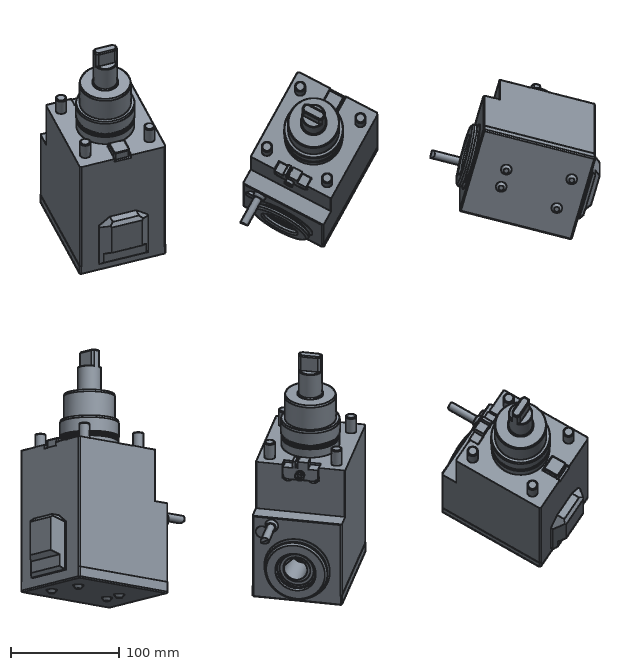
import cadquery as cq

OVERLAP = 2.3

HALF_DEPTH = 42.5
BODY_LEFT = -60.0
BODY_RIGHT = 47.8
BODY_BOTTOM = -133.8
UPPER_LEFT = -44.5
STEP_Z = -48.7
PLATE_TOP = -123.2
PLATE_STEP = 0.2
EDGE_CHAMFER = 1.4
UPPER_EDGE_CHAMFER = 0.7

COLLAR_RADIUS = 55.0 / 2
BASE_RADIUS = 27.0
COLLAR_TOP = 27.7
SPIGOT_RADIUS = 47.8 / 2
SPIGOT_TOP = 52.8
SHANK_CHAMFER = 2.0
RIM_CHAMFER = 0.7
GROOVE_BOTTOM = 8.5
GROOVE_TOP = 13.0
GROOVE_RADIUS = 26.3
RING_RADIUS = 27.0
RING_BOTTOM = 10.0
RING_TOP = 11.5
SHAFT_RADIUS = 22.0 / 2
SHAFT_FLARE = 1.2
SHAFT_TOP = 78.5
TANG_TOP = 94.0
TANG_WIDTH = 8.8
TANG_END_CHAMFER = 1.8
TANG_END_RUN = 3.0
TANG_TOP_CHAMFER = 1.2

STUD_RADIUS = 10.0 / 2
STUD_X = 32.5
STUD_Y = 31.5
STUD_HEIGHT = 16.0
STUD_CHAMFER = 1.0

KEY_SLOT_WIDTH = 16.5
KEY_SLOT_START = 28.5
KEY_SLOT_DEPTH = 3.5
KEY_WIDTH = 15.5
KEY_START = 29.8
KEY_END = 45.2
KEY_HEIGHT = 4.5
KEY_CHAMFER = 1.4
KEY_TOP_CHAMFER = 0.7

POCKET_WIDTH = 34.5
POCKET_BACK = -35.8
RELIEF_RADIUS = 4.8
RELIEF_Y = 12.0
RELIEF_Z = -11.8
BLOCK_FRONT = -45.7
BLOCK_WIDTH = 33.0
BLOCK_TOP = -2.0
BLOCK_BOTTOM = -14.0
BLOCK_CHAMFER = 2.5
TENON_WIDTH = 14.8
TENON_TOP = 4.8
SAW_SLOT_Y = 3.5
SAW_SLOT_WIDTH = 2.0
SAW_SLOT_FLOOR = -1.5
SCREW_Z = -8.3
SCREW_RADIUS = 8.5 / 2
SCREW_NECK_RADIUS = 8.0 / 2
SCREW_FRONT = -49.8
SCREW_RIM = 0.7
SOCKET_RADIUS = 4.2 / 2
SOCKET_DEPTH = 2.3

PIPE_Y = 24.0
PIPE_Z = -56.8
PIPE_RADIUS = 7.5 / 2
PIPE_TIP = -91.8
PIPE_CUT = 3.0
PIPE_CUT_TURN = 25
BALL_RADIUS = 12.2 / 2
BALL_FRONT = -64.0
NOZZLE_Y = 32.0
NOZZLE_Z = -62.5
NOZZLE_ROOT_RADIUS = 2.3

NUT_Z = -99.5
SEAT_RADIUS = 62.0 / 2
SEAT_HEIGHT = 0.2
NECK_RADIUS = 49.0 / 2
NUT_RADIUS = 59.0 / 2
NUT_BACK = -62.8
NUT_FRONT = -67.0
NUT_CHAMFER = 1.8
MOUTH_RADIUS = 38.5 / 2
CAVITY_RADIUS = 36.0 / 2
MOUTH_DEPTH = 1.8
CAVITY_DEPTH = 4.5
INNER_RADIUS = 32.0 / 2
INNER_DEPTH = 5.0
RIM_RADIUS = 25.5 / 2
RIM_DEPTH = 0.7
BORE_RADIUS = 22.0 / 2
BORE_OFFSET = 1.2
BORE_FLAT = 9.5
BORE_DEPTH = 34.5
FLAT_ANGLE = 45

COVER_RIGHT = 59.0
COVER_TOP = -70.0
COVER_BOTTOM = -123.5
COVER_HALF_WIDTH = 24.0
COVER_TOP_HALF = 13.0
COVER_FACE_HALF = 15.0
COVER_SIDE_X = 50.0
COVER_SHOULDER_Z = -78.2
COVER_TOP_CHAMFER = 3.5
COVER_WAIST_X = 53.3
COVER_WAIST_TOP = -104.8
COVER_WAIST_BOTTOM = -109.1
COVER_FOOT_Z = -120.0

FOOT_RADIUS = 10.0 / 2
FOOT_HEIGHT = 3.0
FOOT_TAPER = 40
FOOT_PLACES = [(-29.0, 8.3), (-29.0, -9.5), (26.0, 15.2), (31.8, -16.2)]


def box(x0, x1, y0, y1, z0, z1):
    """Block between the given limits."""
    return cq.Workplane("XY").box(x1 - x0, y1 - y0, z1 - z0, centered=False).translate((x0, y0, z0))


def cross_block(x0, x1, width, z0, z1):
    """Block centred on Y = 0."""
    return box(x0, x1, -width / 2, width / 2, z0, z1)


def turned_x(y, z, profile):
    """Solid turned about a line along X; the profile lists (x, radius)."""
    points = [(profile[0][0], 0)] + profile + [(profile[-1][0], 0)]
    turned = cq.Workplane("XY").polyline(points).close().revolve(360, (0, 0, 0), (1, 0, 0))
    return turned.translate((0, y, z))


def make_housing():
    upper = cross_block(UPPER_LEFT, BODY_RIGHT, 2 * (HALF_DEPTH - PLATE_STEP), PLATE_TOP, 0)
    upper = upper.edges("|Z and <X").chamfer(UPPER_EDGE_CHAMFER)
    upper = upper.edges("|Z and >X").chamfer(EDGE_CHAMFER)
    lower = cross_block(BODY_LEFT, 0, 2 * (HALF_DEPTH - PLATE_STEP), PLATE_TOP, STEP_Z)
    lower = lower.edges("|Z and <X").chamfer(EDGE_CHAMFER)
    lower = lower.edges("<X and >Z").chamfer(UPPER_EDGE_CHAMFER)
    plate = cross_block(BODY_LEFT, BODY_RIGHT, 2 * HALF_DEPTH, BODY_BOTTOM, PLATE_TOP)
    plate = plate.edges("|Z or <Z").chamfer(EDGE_CHAMFER)
    return upper.union(lower).union(plate)


def make_shank():
    body = (
        cq.Workplane("XZ")
        .moveTo(0, -OVERLAP)
        .lineTo(BASE_RADIUS, -OVERLAP)
        .lineTo(BASE_RADIUS, GROOVE_BOTTOM)
        .lineTo(GROOVE_RADIUS, GROOVE_BOTTOM)
        .lineTo(GROOVE_RADIUS, RING_BOTTOM)
        .lineTo(RING_RADIUS, RING_BOTTOM)
        .lineTo(RING_RADIUS, RING_TOP)
        .lineTo(GROOVE_RADIUS, RING_TOP)
        .lineTo(GROOVE_RADIUS, GROOVE_TOP)
        .lineTo(COLLAR_RADIUS, GROOVE_TOP)
        .lineTo(COLLAR_RADIUS, COLLAR_TOP - SHANK_CHAMFER)
        .lineTo(COLLAR_RADIUS - RIM_CHAMFER, COLLAR_TOP)
        .lineTo(SPIGOT_RADIUS, COLLAR_TOP)
        .lineTo(SPIGOT_RADIUS, SPIGOT_TOP - SHANK_CHAMFER)
        .lineTo(SPIGOT_RADIUS - RIM_CHAMFER, SPIGOT_TOP)
        .lineTo(SHAFT_RADIUS + SHAFT_FLARE, SPIGOT_TOP)
        .lineTo(SHAFT_RADIUS, SPIGOT_TOP + SHAFT_FLARE)
        .lineTo(SHAFT_RADIUS, SHAFT_TOP - RIM_CHAMFER)
        .lineTo(SHAFT_RADIUS - RIM_CHAMFER, SHAFT_TOP)
        .lineTo(0, SHAFT_TOP)
        .close()
        .revolve(360, (0, 0, 0), (0, 1, 0))
    )
    tang_base = SHAFT_TOP - OVERLAP
    tang_corners = [
        (TANG_WIDTH / 2, SHAFT_RADIUS - TANG_END_RUN),
        (TANG_WIDTH / 2 - TANG_END_CHAMFER, SHAFT_RADIUS),
    ]
    tang_corners += [(-x, y) for x, y in reversed(tang_corners)]
    tang_corners += [(-x, -y) for x, y in tang_corners]
    tang = cq.Workplane("XY").workplane(offset=tang_base).polyline(tang_corners).close()
    tang = tang.extrude(TANG_TOP - tang_base).faces(">Z").chamfer(TANG_TOP_CHAMFER)
    round_stock = cq.Workplane("XY").workplane(offset=tang_base).circle(SHAFT_RADIUS)
    round_stock = round_stock.extrude(TANG_TOP - tang_base)
    return body.union(tang.intersect(round_stock))


def make_studs():
    return (
        cq.Workplane("XY")
        .workplane(offset=-OVERLAP)
        .rect(2 * STUD_X, 2 * STUD_Y, forConstruction=True)
        .vertices()
        .circle(STUD_RADIUS)
        .extrude(STUD_HEIGHT + OVERLAP)
        .faces(">Z")
        .chamfer(STUD_CHAMFER)
    )


def add_key(part):
    slot = cross_block(KEY_SLOT_START, BODY_RIGHT, KEY_SLOT_WIDTH, -KEY_SLOT_DEPTH, 0)
    key = cross_block(KEY_START, KEY_END, KEY_WIDTH, -KEY_SLOT_DEPTH, KEY_HEIGHT)
    key = key.edges("|Z and >X").chamfer(KEY_CHAMFER)
    key = key.faces(">Z").chamfer(KEY_TOP_CHAMFER)
    return part.cut(slot).union(key)


def add_locating_block(part):
    pocket = cross_block(BLOCK_FRONT, POCKET_BACK, POCKET_WIDTH, BLOCK_BOTTOM, 0)
    reliefs = (
        cq.Workplane("YZ")
        .workplane(offset=BLOCK_FRONT)
        .pushPoints([(-RELIEF_Y, RELIEF_Z), (RELIEF_Y, RELIEF_Z)])
        .circle(RELIEF_RADIUS)
        .extrude(POCKET_BACK - BLOCK_FRONT)
    )
    block = cross_block(BLOCK_FRONT, POCKET_BACK, BLOCK_WIDTH, BLOCK_BOTTOM, BLOCK_TOP)
    block = block.edges("|X and <Z").chamfer(BLOCK_CHAMFER)
    tenon = cross_block(BLOCK_FRONT, POCKET_BACK, TENON_WIDTH, BLOCK_BOTTOM, TENON_TOP)
    saw_slot = cross_block(BLOCK_FRONT, POCKET_BACK, SAW_SLOT_WIDTH, SAW_SLOT_FLOOR, TENON_TOP)
    block = block.union(tenon).cut(saw_slot.translate((0, SAW_SLOT_Y, 0)))
    screw = turned_x(0, SCREW_Z, [
        (SCREW_FRONT, SCREW_RADIUS),
        (SCREW_FRONT + SCREW_RIM, SCREW_RADIUS),
        (SCREW_FRONT + SCREW_RIM, SCREW_NECK_RADIUS),
        (POCKET_BACK, SCREW_NECK_RADIUS),
    ])
    socket = turned_x(0, SCREW_Z, [(SCREW_FRONT, SOCKET_RADIUS), (SCREW_FRONT + SOCKET_DEPTH, SOCKET_RADIUS)])
    return part.cut(pocket).cut(reliefs).union(block).union(screw).cut(socket)


def make_coolant_parts():
    pipe = turned_x(0, 0, [(PIPE_TIP, PIPE_RADIUS), (BODY_LEFT, PIPE_RADIUS)])
    cut = (
        cq.Workplane("XZ")
        .polyline([(PIPE_TIP, 0), (PIPE_TIP, -PIPE_RADIUS), (PIPE_TIP + PIPE_CUT, -PIPE_RADIUS)])
        .close()
        .extrude(PIPE_RADIUS, both=True)
        .rotate((0, 0, 0), (1, 0, 0), -PIPE_CUT_TURN)
    )
    ball = cq.Workplane("XY").sphere(BALL_RADIUS).translate((BODY_LEFT, 0, 0))
    ball = ball.intersect(cross_block(BALL_FRONT, 0, 4 * BALL_RADIUS, -BALL_RADIUS, BALL_RADIUS))
    pipe = pipe.cut(cut).union(ball).translate((0, PIPE_Y, PIPE_Z))
    nozzle = turned_x(NOZZLE_Y, NOZZLE_Z, [
        (BALL_FRONT, BALL_RADIUS),
        (BODY_LEFT, NOZZLE_ROOT_RADIUS),
        (BODY_LEFT + OVERLAP, NOZZLE_ROOT_RADIUS),
    ])
    return pipe.union(nozzle)


def add_collet_nut(part):
    nut = turned_x(0, NUT_Z, [
        (NUT_FRONT, NUT_RADIUS - NUT_CHAMFER),
        (NUT_FRONT + NUT_CHAMFER, NUT_RADIUS),
        (NUT_BACK, NUT_RADIUS),
        (NUT_BACK, NECK_RADIUS),
        (BODY_LEFT - SEAT_HEIGHT, NECK_RADIUS),
        (BODY_LEFT - SEAT_HEIGHT, SEAT_RADIUS),
        (BODY_LEFT + OVERLAP, SEAT_RADIUS),
    ])
    floor_x = NUT_FRONT + INNER_DEPTH
    cavity = turned_x(0, NUT_Z, [
        (NUT_FRONT, MOUTH_RADIUS),
        (NUT_FRONT + MOUTH_DEPTH, CAVITY_RADIUS),
        (NUT_FRONT + CAVITY_DEPTH, CAVITY_RADIUS),
        (NUT_FRONT + CAVITY_DEPTH, INNER_RADIUS),
        (floor_x, INNER_RADIUS),
    ])
    rim = turned_x(0, NUT_Z, [(floor_x, RIM_RADIUS), (floor_x + RIM_DEPTH, RIM_RADIUS)])
    bore = turned_x(0, 0, [(floor_x, BORE_RADIUS), (floor_x + BORE_DEPTH, BORE_RADIUS)])
    flat_limit = cross_block(floor_x, floor_x + BORE_DEPTH, 4 * BORE_RADIUS, -2 * BORE_RADIUS, BORE_FLAT)
    bore = bore.intersect(flat_limit).rotate((0, 0, 0), (1, 0, 0), -FLAT_ANGLE)
    bore = bore.translate((0, BORE_OFFSET, NUT_Z))
    return part.union(nut).cut(cavity).cut(rim).cut(bore)


def make_cover():
    height = COVER_TOP - COVER_BOTTOM
    side = (
        cq.Workplane("XZ")
        .polyline([
            (BODY_RIGHT - OVERLAP, COVER_TOP),
            (COVER_RIGHT - COVER_TOP_CHAMFER, COVER_TOP),
            (COVER_RIGHT, COVER_TOP - COVER_TOP_CHAMFER),
            (COVER_RIGHT, COVER_WAIST_TOP),
            (COVER_WAIST_X, COVER_WAIST_BOTTOM),
            (COVER_WAIST_X, COVER_FOOT_Z),
            (COVER_SIDE_X, COVER_BOTTOM),
            (BODY_RIGHT - OVERLAP, COVER_BOTTOM),
        ])
        .close()
        .extrude(COVER_HALF_WIDTH, both=True)
    )
    plan = (
        cq.Workplane("XY")
        .workplane(offset=COVER_BOTTOM)
        .polyline([
            (BODY_RIGHT - OVERLAP, -COVER_HALF_WIDTH),
            (COVER_SIDE_X, -COVER_HALF_WIDTH),
            (COVER_RIGHT, -COVER_FACE_HALF),
            (COVER_RIGHT, COVER_FACE_HALF),
            (COVER_SIDE_X, COVER_HALF_WIDTH),
            (BODY_RIGHT - OVERLAP, COVER_HALF_WIDTH),
        ])
        .close()
        .extrude(height)
    )
    face = (
        cq.Workplane("YZ")
        .workplane(offset=BODY_RIGHT - OVERLAP)
        .polyline([
            (-COVER_HALF_WIDTH, COVER_BOTTOM),
            (COVER_HALF_WIDTH, COVER_BOTTOM),
            (COVER_HALF_WIDTH, COVER_SHOULDER_Z),
            (COVER_TOP_HALF, COVER_TOP),
            (-COVER_TOP_HALF, COVER_TOP),
            (-COVER_HALF_WIDTH, COVER_SHOULDER_Z),
        ])
        .close()
        .extrude(COVER_RIGHT - BODY_RIGHT + OVERLAP)
    )
    return side.intersect(plan).intersect(face)


def make_feet():
    return (
        cq.Workplane("XY")
        .workplane(offset=BODY_BOTTOM)
        .pushPoints(FOOT_PLACES)
        .circle(FOOT_RADIUS)
        .extrude(-FOOT_HEIGHT, taper=FOOT_TAPER)
    )


result = make_housing().union(make_shank()).union(make_studs())
result = add_key(result)
result = add_locating_block(result)
result = result.union(make_coolant_parts())
result = add_collet_nut(result)
result = result.union(make_cover()).union(make_feet())